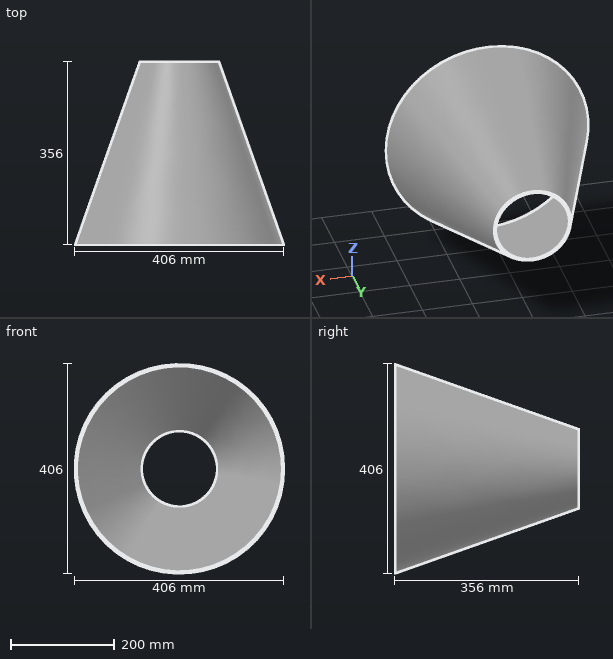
import cadquery as cq

large_diameter = 406.0
small_diameter = 154.0
length = 356.0
wall = 4.0

large_radius = large_diameter / 2
small_radius = small_diameter / 2

wall_section = (
    cq.Workplane("XY")
    .moveTo(large_radius - wall, 0)
    .lineTo(large_radius, 0)
    .lineTo(small_radius, length)
    .lineTo(small_radius - wall, length)
    .close()
)

result = wall_section.revolve(360, (0, 0, 0), (0, 1, 0))